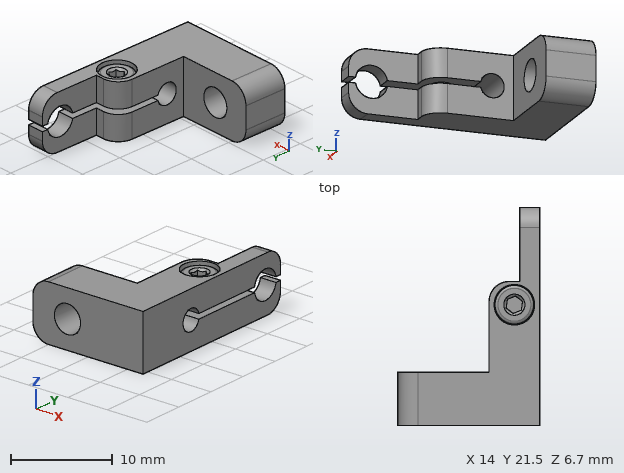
import cadquery as cq
import math

width = 14.0
length = 21.5
height = 6.7
mid_z = height / 2
foot_depth = 5.27
arm_width = 5.0
arm_end_y = 14.21
plate_thickness = 2.0
corner_radius = 2.0

foot_bore_diameter = 3.31
foot_bore_x = 4.4
clamp_bore_diameter = 3.4
clamp_bore_y = length - 2.4
relief_diameter = 2.5
relief_y = 7.5
slot_gap = 0.6

screw_x = width - arm_width / 2
screw_y = 11.91
shank_diameter = 2.0
shank_bottom_z = 1.0
counterbore_diameter = 4.0
head_diameter = 3.8
head_height = 2.0
head_recess = 0.3
head_edge_radius = 0.28
head_top_z = height - head_recess
head_seat_z = head_top_z - head_height
socket_across_flats = 1.5
socket_depth = 1.0
socket_rim_diameter = 2.09
socket_angle = 82.0
socket_corner_diameter = socket_across_flats / math.cos(math.pi / 6)
socket_chamfer = (socket_rim_diameter - socket_across_flats) / 2


def cylinder_z(diameter, bottom_z, top_z):
    """Vertical cylinder on the screw axis."""
    base = cq.Workplane("XY", origin=(screw_x, screw_y, bottom_z))
    return base.circle(diameter / 2).extrude(top_z - bottom_z)


def bore_x(diameter, y):
    """Cutter across the full width, along X at mid height."""
    base = cq.Workplane("YZ", origin=(0, y, mid_z))
    return base.circle(diameter / 2).extrude(width)


def make_blank():
    """L-shaped bracket with its rounded ends, before any cutting."""
    foot = cq.Workplane("XY").box(width, foot_depth, height, centered=False)
    foot = foot.edges("|Y and <X").fillet(corner_radius)
    arm = (
        cq.Workplane("XY")
        .box(arm_width, arm_end_y, height, centered=False)
        .edges("|Z and <X and >Y")
        .fillet(corner_radius)
        .translate((width - arm_width, 0, 0))
    )
    plate = (
        cq.Workplane("XY")
        .box(plate_thickness, length, height, centered=False)
        .edges("|X and >Y")
        .fillet(corner_radius)
        .translate((width - plate_thickness, 0, 0))
    )
    return foot.union(arm).union(plate)


def make_bracket():
    foot_bore = (
        cq.Workplane("XZ", origin=(foot_bore_x, 0, mid_z))
        .circle(foot_bore_diameter / 2)
        .extrude(-foot_depth)
    )
    slot = cq.Workplane("XY").box(width, length - relief_y, slot_gap, centered=False)
    slot = slot.translate((0, relief_y, mid_z - slot_gap / 2))
    bracket = make_blank().cut(foot_bore).cut(slot)
    bracket = bracket.cut(bore_x(clamp_bore_diameter, clamp_bore_y))
    bracket = bracket.cut(bore_x(relief_diameter, relief_y))
    bracket = bracket.cut(cylinder_z(shank_diameter, shank_bottom_z, head_seat_z))
    return bracket.cut(cylinder_z(counterbore_diameter, head_seat_z, height))


def make_screw():
    head = cylinder_z(head_diameter, head_seat_z, head_top_z)
    head = head.faces(">Z").edges().fillet(head_edge_radius)
    shank = cylinder_z(shank_diameter, shank_bottom_z, head_seat_z)
    socket = (
        cq.Workplane("XY")
        .polygon(6, socket_corner_diameter)
        .extrude(-socket_depth)
        .rotate((0, 0, 0), (0, 0, 1), socket_angle)
        .translate((screw_x, screw_y, head_top_z))
    )
    lead_in = (
        cq.Workplane("XY", origin=(screw_x, screw_y, head_top_z))
        .circle(socket_rim_diameter / 2)
        .workplane(offset=-socket_chamfer)
        .circle(socket_across_flats / 2)
        .loft()
    )
    return head.union(shank).cut(socket).cut(lead_in)


bracket = make_bracket()
screw = make_screw()
result = cq.Compound.makeCompound([bracket.val(), screw.val()])